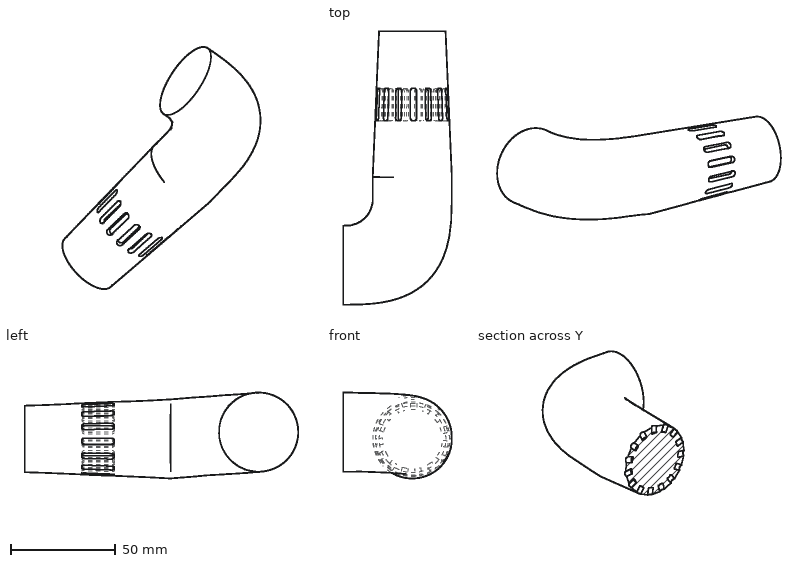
import cadquery as cq
import math

sleeve_length = 69.9
joint_radius = 19.0
tip_radius = 16.0

bend_radius = 31.5
joint_straight = 10.8
end_straight = 1.7
rise = 3.3
corner_bulge = 4.6
bend_steps = 8

slot_count = 15
slot_length = 15.7
slot_width = 3.0
slot_depth = 3.3
slot_center_y = 34.8
first_slot_angle = 16


def make_sleeve():
    """Round frustum on the Y axis, from the joint to the tip."""
    half_profile = (
        cq.Workplane("XY")
        .polyline([(0, 0), (joint_radius, 0), (tip_radius, sleeve_length), (0, sleeve_length)])
        .close()
    )
    return half_profile.revolve(360, (0, 0, 0), (0, 1, 0))


def elbow_section(angle, before_bend=0, after_bend=0):
    """Section at a bend angle in radians, moved back or on along the straights."""
    outward = cq.Vector(math.cos(angle), -math.sin(angle), 0)
    forward = cq.Vector(-math.sin(angle), -math.cos(angle), 0)

    half_bulge = corner_bulge * math.sin(2 * angle) ** 2 / 2
    bend_center = cq.Vector(-bend_radius, -joint_straight, 0)

    arc_length = bend_radius * math.pi / 2
    travel = joint_straight + bend_radius * angle - before_bend + after_bend
    travel_fraction = travel / (joint_straight + arc_length + end_straight)
    height = cq.Vector(0, 0, rise * math.sin(math.pi / 2 * travel_fraction))

    center = bend_center + outward * (bend_radius + half_bulge) + height
    center = center + forward * (after_bend - before_bend)
    return cq.Wire.makeEllipse(
        joint_radius + half_bulge, joint_radius, center, forward, outward, closed=True
    )


def make_elbow():
    quarter_turn = math.pi / 2
    sections = [
        elbow_section(0, before_bend=joint_straight),
        elbow_section(0, before_bend=joint_straight / 2),
    ]
    for step in range(bend_steps + 1):
        sections.append(elbow_section(quarter_turn * step / bend_steps))
    sections.append(elbow_section(quarter_turn, after_bend=end_straight))
    return cq.Workplane(cq.Solid.makeLoft(sections))


def make_slot(angle):
    """Radial cutter for one slot, from its flat floor out past the surface."""
    taper = (joint_radius - tip_radius) / sleeve_length
    surface_radius = joint_radius - taper * slot_center_y
    cutter = (
        cq.Workplane("XY", origin=(0, slot_center_y, surface_radius - slot_depth))
        .slot2D(slot_length, slot_width, 90)
        .extrude(2 * slot_depth)
    )
    return cutter.rotate((0, 0, 0), (0, 1, 0), 90 - angle)


sleeve = make_sleeve()
for index in range(slot_count):
    sleeve = sleeve.cut(make_slot(first_slot_angle + index * 360 / slot_count))

result = make_elbow().union(sleeve)